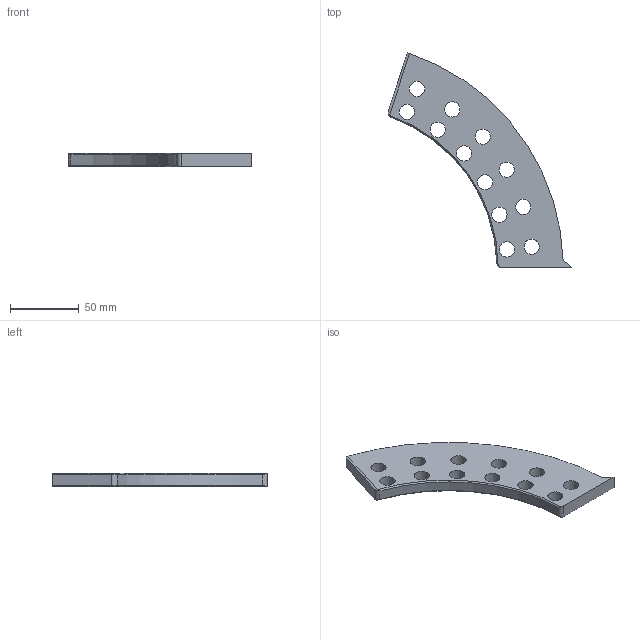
import cadquery as cq
import math

thickness = 9.49
inner_radius = 115.9
outer_radius = 164.28
sector_angle = 72.0
tip_reach = 170.66
tip_height = 4.95
corner_fillet = 3.2

arc_bevel_width = 0.95
arc_bevel_depth = 1.0
end_bevel_width = 1.65
end_bevel_depth = 0.45

hole_diameter = 11.1
hole_circle_radii = (123.9, 142.1)
holes_per_circle = 6
hole_pitch = sector_angle / holes_per_circle


def polar(radius, degrees):
    """Point at the given radius and angle about the arc centre."""
    angle = math.radians(degrees)
    return (radius * math.cos(angle), radius * math.sin(angle))


def make_plate():
    """Ring sector with a pointed tip at its outer corner and rounded inner corners."""
    tip_root_angle = math.degrees(math.asin(tip_height / outer_radius))
    inner_end = polar(inner_radius, sector_angle)
    outer_end = polar(outer_radius, sector_angle)
    plate = (
        cq.Workplane("XY")
        .moveTo(inner_radius, 0)
        .lineTo(tip_reach, 0)
        .lineTo(*polar(outer_radius, tip_root_angle))
        .threePointArc(polar(outer_radius, sector_angle / 2), outer_end)
        .lineTo(*inner_end)
        .threePointArc(polar(inner_radius, sector_angle / 2), (inner_radius, 0))
        .close()
        .extrude(thickness)
    )
    for x, y in ((inner_radius, 0), inner_end):
        corner = cq.selectors.NearestToPointSelector((x, y, thickness / 2))
        plate = plate.edges("|Z").edges(corner).fillet(corner_fillet)
    return plate


def mirrored_pair(top_cutter):
    """The given cutter together with its mirror image about the plate's mid-plane."""
    return top_cutter.union(top_cutter.mirror("XY", (0, 0, thickness / 2)))


def bevel_inner_arc(plate):
    """Cut a conical bevel along the inner arc; it runs out on the rounded corners."""
    cone = cq.Solid.makeCone(
        inner_radius,
        inner_radius + arc_bevel_width,
        arc_bevel_depth,
        pnt=cq.Vector(0, 0, thickness - arc_bevel_depth),
    )
    return plate.cut(mirrored_pair(cq.Workplane(cone)))


def bevel_end_face(plate):
    """Cut a flat, shallow bevel along the upper end face."""
    cutter = (
        cq.Workplane("YZ")
        .moveTo(0, thickness - end_bevel_depth)
        .lineTo(0, thickness)
        .lineTo(-end_bevel_width, thickness)
        .close()
        .extrude(tip_reach)
        .rotate((0, 0, 0), (0, 0, 1), sector_angle)
    )
    return plate.cut(mirrored_pair(cutter))


def drill_holes(plate):
    """Drill through holes on two concentric circles, centred within equal angular steps."""
    centres = [
        polar(radius, (index + 0.5) * hole_pitch)
        for radius in hole_circle_radii
        for index in range(holes_per_circle)
    ]
    holes = cq.Workplane("XY").pushPoints(centres).circle(hole_diameter / 2).extrude(thickness)
    return plate.cut(holes)


plate = make_plate()
plate = bevel_inner_arc(plate)
plate = bevel_end_face(plate)
result = drill_holes(plate)